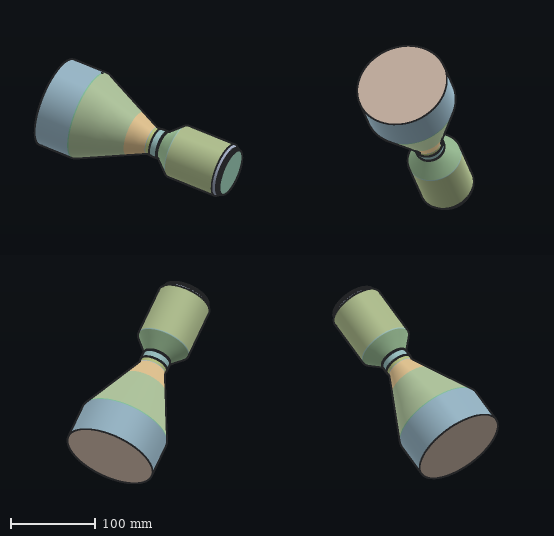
import cadquery as cq

TOTAL_LENGTH = 236.6
HEAD_END = 45.1
CONE_JOINT = 105.7
NECK_START = 129.0
COLLAR_START = 134.4
COLLAR_END = 144.0
FLARE_START = 145.5
FLARE_END = 164.1
BODY_END = 228.2
BEVEL_END = 232.5
LIP_START = 233.9

HEAD_DIAMETER = 110.0
CONE_JOINT_DIAMETER = 55.0
NECK_DIAMETER = 34.0
COLLAR_DIAMETER = 35.0
BODY_DIAMETER = 66.0
BEVEL_END_DIAMETER = 60.5
GROOVE_DIAMETER = 56.0
LIP_DIAMETER = 57.5

HEAD_ROUNDING = 3.5
BODY_ROUNDING = 2.0
NECK_ROUNDING = 1.5
COLLAR_CHAMFER = 0.5
LIP_CHAMFER = 0.5


def turned_blank():
    """Solid of revolution about X with sharp shoulders."""
    profile = [
        (0, 0),
        (0, HEAD_DIAMETER / 2),
        (HEAD_END, HEAD_DIAMETER / 2),
        (CONE_JOINT, CONE_JOINT_DIAMETER / 2),
        (NECK_START, NECK_DIAMETER / 2),
        (COLLAR_START, NECK_DIAMETER / 2),
        (COLLAR_START + COLLAR_CHAMFER, COLLAR_DIAMETER / 2),
        (COLLAR_END, COLLAR_DIAMETER / 2),
        (COLLAR_END, NECK_DIAMETER / 2),
        (FLARE_START, NECK_DIAMETER / 2),
        (FLARE_END, BODY_DIAMETER / 2),
        (BODY_END, BODY_DIAMETER / 2),
        (BEVEL_END, BEVEL_END_DIAMETER / 2),
        (BEVEL_END, GROOVE_DIAMETER / 2),
        (LIP_START, GROOVE_DIAMETER / 2),
        (LIP_START, LIP_DIAMETER / 2),
        (TOTAL_LENGTH - LIP_CHAMFER, LIP_DIAMETER / 2),
        (TOTAL_LENGTH, LIP_DIAMETER / 2 - LIP_CHAMFER),
        (TOTAL_LENGTH, 0),
    ]
    return cq.Workplane("XZ").polyline(profile).close().revolve(360, (0, 0, 0), (1, 0, 0))


def round_shoulder(part, station, radius):
    """Round the circular edge centred at the given X station."""
    margin = 0.1
    reach = HEAD_DIAMETER
    edges = part.edges(
        cq.selectors.BoxSelector(
            (station - margin, -reach, -reach),
            (station + margin, reach, reach),
            boundingbox=True,
        )
    )
    return edges.fillet(radius)


result = turned_blank()
result = round_shoulder(result, HEAD_END, HEAD_ROUNDING)
result = round_shoulder(result, FLARE_END, BODY_ROUNDING)
result = round_shoulder(result, NECK_START, NECK_ROUNDING)